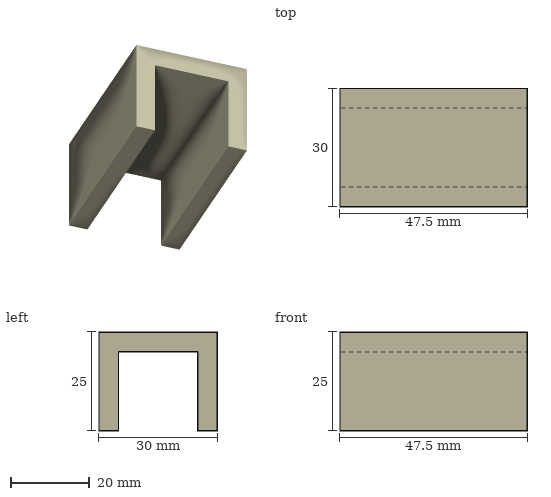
import cadquery as cq

length = 47.5
wall = 5.0
channel_width = 20.0
channel_depth = 20.0

width = channel_width + 2 * wall
height = channel_depth + wall


def make_block():
    """Solid outer block, centred in X and Y, standing on Z = 0."""
    return cq.Workplane("XY").box(length, width, height, centered=(True, True, False))


def make_channel():
    """Rectangular channel, open at the bottom and at both X ends."""
    return cq.Workplane("XY").box(length, channel_width, channel_depth, centered=(True, True, False))


result = make_block().cut(make_channel())